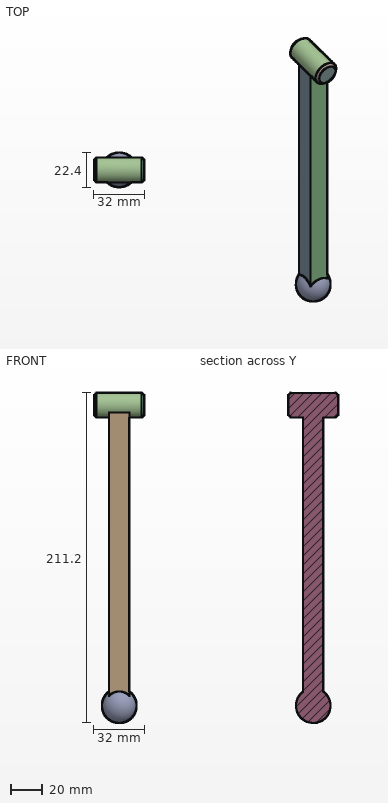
import cadquery as cq

total_height = 211.2

handle_length = 32.0
handle_diameter = 16.0
handle_chamfer = 1.7

shank_width = 13.0

ball_diameter = 22.4

ball_center_z = ball_diameter / 2
handle_center_z = total_height - handle_diameter / 2


def make_handle():
    """Chamfered round bar lying along X."""
    return (
        cq.Workplane("YZ", origin=(-handle_length / 2, 0, handle_center_z))
        .circle(handle_diameter / 2)
        .extrude(handle_length)
        .faces("<X or >X")
        .chamfer(handle_chamfer)
    )


def make_shank():
    """Square bar joining the ball centre to the handle axis."""
    return (
        cq.Workplane("XY", origin=(0, 0, ball_center_z))
        .rect(shank_width, shank_width)
        .extrude(handle_center_z - ball_center_z)
    )


def make_ball():
    """Ball centred on the shank axis."""
    return cq.Workplane("XY", origin=(0, 0, ball_center_z)).sphere(ball_diameter / 2)


result = make_handle().union(make_shank()).union(make_ball())